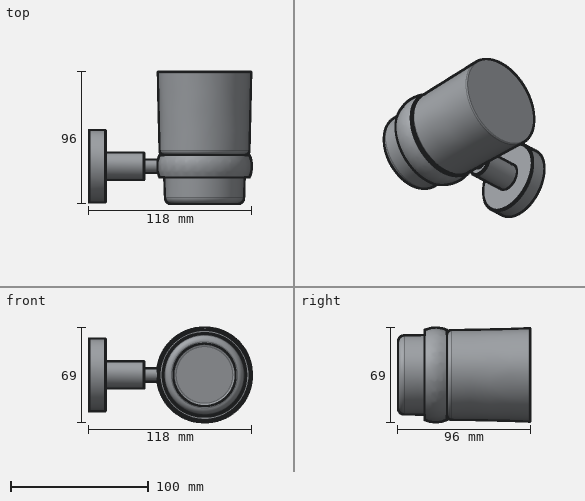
import cadquery as cq
import math

overall_length = 118.0
ring_radius = 34.5
cup_axis_x = overall_length - ring_radius

flange_radius = 26.4
flange_thickness = 12.0
flange_chamfer = 0.7
post_radius = 10.0
post_end_x = 40.0
post_chamfer = 0.7
rod_radius = 5.0

ring_width = 16.0
ring_edge_radius = 32.7
ring_bore_radius = 30.3

cup_bottom_y = -27.5
cup_height = 96.0
cup_top_y = cup_bottom_y + cup_height
shoulder_top_y = 11.5
shoulder_bottom_y = 8.5
neck_top_y = ring_width / 2

cup_top_radius = 34.0
lip_rounding = 0.8
shoulder_top_radius = 32.7
shoulder_bottom_radius = 30.8
neck_top_radius = 29.7
base_radius = 28.8
base_rounding = 4.8
foot_inner_radius = 22.7
recess_rounding = 2.1


def make_ring_blank():
    """Solid disc with a crowned rim, before the cup bore is cut."""
    half_width = ring_width / 2
    return (
        cq.Workplane("XY")
        .moveTo(0, -half_width)
        .lineTo(ring_edge_radius, -half_width)
        .threePointArc((ring_radius, 0), (ring_edge_radius, half_width))
        .lineTo(0, half_width)
        .close()
        .revolve(360, (0, 0, 0), (0, 1, 0))
        .translate((cup_axis_x, 0, 0))
    )


def make_ring():
    """Crowned ring that holds the cup with a small clearance."""
    bore = (
        cq.Workplane("XZ", origin=(cup_axis_x, 0, 0))
        .circle(ring_bore_radius)
        .extrude(ring_width, both=True)
    )
    return make_ring_blank().cut(bore)


def make_mount():
    """Flange, post and rod; the rod end follows the rim of the ring."""
    flange = (
        cq.Workplane("YZ")
        .circle(flange_radius)
        .extrude(flange_thickness)
        .faces(">X").edges().chamfer(flange_chamfer)
    )
    post = (
        cq.Workplane("YZ")
        .circle(post_radius)
        .extrude(post_end_x)
        .faces(">X").edges().chamfer(post_chamfer)
    )
    rod = (
        cq.Workplane("YZ")
        .circle(rod_radius)
        .extrude(cup_axis_x)
        .cut(make_ring_blank())
    )
    return flange.union(post).union(rod)


def make_cup():
    """Tapered cup with a rounded shoulder, a narrower neck and a recessed foot."""
    base_round_y = cup_bottom_y + base_rounding
    base_flat_radius = base_radius - base_rounding
    recess_y = cup_bottom_y + recess_rounding
    recess_flat_radius = foot_inner_radius - recess_rounding
    diagonal = math.sqrt(0.5)
    base_mid = (
        base_flat_radius + base_rounding * diagonal,
        base_round_y - base_rounding * diagonal,
    )
    recess_mid = (
        recess_flat_radius + recess_rounding * diagonal,
        cup_bottom_y + recess_rounding * diagonal,
    )
    lip_mid = (
        cup_top_radius - lip_rounding * (1 - diagonal),
        cup_top_y - lip_rounding * (1 - diagonal),
    )
    return (
        cq.Workplane("XY")
        .moveTo(0, recess_y)
        .lineTo(recess_flat_radius, recess_y)
        .threePointArc(recess_mid, (foot_inner_radius, cup_bottom_y))
        .lineTo(base_flat_radius, cup_bottom_y)
        .threePointArc(base_mid, (base_radius, base_round_y))
        .lineTo(neck_top_radius, neck_top_y)
        .lineTo(shoulder_bottom_radius, shoulder_bottom_y)
        .threePointArc(shoulder_midpoint(), (shoulder_top_radius, shoulder_top_y))
        .lineTo(cup_top_radius, cup_top_y - lip_rounding)
        .threePointArc(lip_mid, (cup_top_radius - lip_rounding, cup_top_y))
        .lineTo(0, cup_top_y)
        .close()
        .revolve(360, (0, 0, 0), (0, 1, 0))
        .translate((cup_axis_x, 0, 0))
    )


def shoulder_midpoint():
    """Middle of the shoulder arc, whose upper end runs parallel to the cup axis."""
    rise = shoulder_top_y - shoulder_bottom_y
    inset = shoulder_top_radius - shoulder_bottom_radius
    arc_radius = (rise**2 + inset**2) / (2 * inset)
    half_angle = math.asin(rise / arc_radius) / 2
    return (
        shoulder_top_radius - arc_radius * (1 - math.cos(half_angle)),
        shoulder_top_y - arc_radius * math.sin(half_angle),
    )


mount = make_mount()
ring = make_ring()
cup = make_cup()

result = cq.Compound.makeCompound([mount.val(), ring.val(), cup.val()])